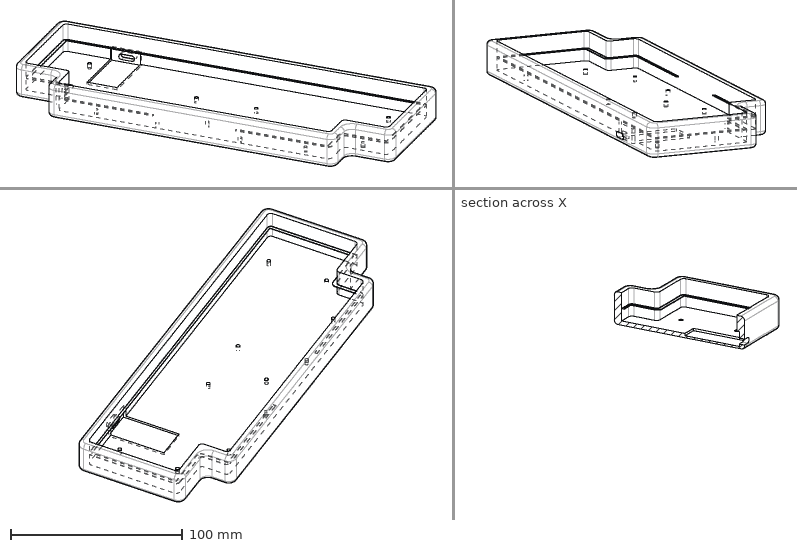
import cadquery as cq


KEY_PITCH = 19.05
KEYS_WIDE = 12
KEYS_DEEP = 4
BORDER = 6.0

WIDTH = KEYS_WIDE * KEY_PITCH + 2 * BORDER
DEPTH = KEYS_DEEP * KEY_PITCH + 2 * BORDER
HEIGHT = 20.6
FRONT_HALF_WIDTH = 4.5 * KEY_PITCH + BORDER
RIGHT_SHOULDER = -KEY_PITCH - BORDER
SHOULDER_OFFSET = 0.4
LEFT_SHOULDER = RIGHT_SHOULDER - SHOULDER_OFFSET

CORNER_RADIUS = 5.0
EDGE_RADIUS = 2.5
CAVITY_RADIUS = 2.3

FLOOR_Z = 3.0

WALL_X = 4.9
WALL_Y = 5.3
WALL_STEP = 5.1

LIP_TOP_Z = 10.7
LIP_THICKNESS = 0.3
LIP_REACH_X = 2.0
LIP_REACH_Y = 1.5
LIP_REACH_STEP = 2.2
LIP_SHOULDER_RADIUS = 3.0
LIP_GAP_HALF_WIDTH = 26.3

POCKET_X = -76.6
POCKET_WIDTH = KEY_PITCH
POCKET_FRONT_Y = 3.9
POCKET_BACK_Y = 40.5
POCKET_DEPTH = 1.4

PORT_WIDTH = 10.0
PORT_HEIGHT = 3.4
PORT_Z = 4.8

HOLE_PITCH = 19.0
HOLE_GRID_Y = -0.1
HOLE_DIAMETER = 2.2
SHOULDER_HOLE_DIAMETER = 2.0
FRONT_HOLE_Y = -32.0


def tray_outline(wall_x, wall_y, wall_step):
    """Wide rear body plus narrow front section, inset by the given walls."""
    side = WIDTH / 2 - wall_x
    rear = DEPTH / 2 - wall_y
    step = FRONT_HALF_WIDTH - wall_step
    left = LEFT_SHOULDER + wall_step
    right = RIGHT_SHOULDER + wall_step
    return [
        (-side, rear),
        (side, rear),
        (side, right),
        (step, right),
        (step, -rear),
        (-step, -rear),
        (-step, left),
        (-side, left),
    ]


def tray_prism(walls, bottom, top):
    """Upright prism over the tray outline."""
    base = cq.Workplane("XY").workplane(offset=bottom)
    return base.polyline(tray_outline(*walls)).close().extrude(top - bottom)


def block(x_range, y_range, z_range):
    """Box between the given limits."""
    sizes = [high - low for low, high in (x_range, y_range, z_range)]
    corner = (x_range[0], y_range[0], z_range[0])
    return cq.Workplane("XY").box(*sizes, centered=False).translate(corner)


def outer_body():
    body = tray_prism((0, 0, 0), 0, HEIGHT).edges("|Z").fillet(CORNER_RADIUS)
    return body.faces("<Z or >Z").edges().fillet(EDGE_RADIUS)


def cavity(bottom, top):
    return tray_prism((WALL_X, WALL_Y, WALL_STEP), bottom, top).edges("|Z").fillet(CAVITY_RADIUS)


def shoulder_edges():
    """Selects the vertical edges where the body steps in to the front section."""
    low = (-FRONT_HALF_WIDTH, RIGHT_SHOULDER, 0)
    high = (FRONT_HALF_WIDTH, 0, HEIGHT)
    return cq.selectors.BoxSelector(low, high)


def support_lip():
    lip_bottom = LIP_TOP_Z - LIP_THICKNESS
    inner_walls = (WALL_X + LIP_REACH_X, WALL_Y + LIP_REACH_Y, WALL_STEP + LIP_REACH_STEP)
    opening = tray_prism(inner_walls, lip_bottom, LIP_TOP_Z)
    opening = opening.edges("|Z").edges(shoulder_edges()).fillet(LIP_SHOULDER_RADIUS)
    front_gap = block(
        (-LIP_GAP_HALF_WIDTH, LIP_GAP_HALF_WIDTH),
        (-DEPTH / 2, 0),
        (lip_bottom, LIP_TOP_Z),
    )
    return cavity(lip_bottom, LIP_TOP_Z).cut(opening).cut(front_gap)


def controller_pocket():
    return block(
        (POCKET_X - POCKET_WIDTH / 2, POCKET_X + POCKET_WIDTH / 2),
        (POCKET_FRONT_Y, POCKET_BACK_Y),
        (FLOOR_Z - POCKET_DEPTH, LIP_TOP_Z - LIP_THICKNESS),
    )


def cable_port():
    slot = cq.Workplane("XZ", origin=(POCKET_X, DEPTH / 2, PORT_Z)).slot2D(PORT_WIDTH, PORT_HEIGHT)
    return slot.extrude(DEPTH / 2 - POCKET_FRONT_Y)


def grid_point(column, row):
    return (column * HOLE_PITCH, HOLE_GRID_Y + row * HOLE_PITCH)


def round_holes(positions, diameter):
    return cq.Workplane("XY").pushPoints(positions).circle(diameter / 2).extrude(FLOOR_Z)


def screw_holes():
    main_positions = [grid_point(0, -1)]
    shoulder_positions = []
    for side in (-1, 1):
        main_positions.append(grid_point(side * 5, 1.5))
        main_positions.append(grid_point(side * 5, -0.5))
        main_positions.append(grid_point(side, 0.5))
        main_positions.append((side * LIP_GAP_HALF_WIDTH, FRONT_HOLE_Y))
        shoulder_positions.append(grid_point(side * 3.5, -1.5))
    main_holes = round_holes(main_positions, HOLE_DIAMETER)
    return main_holes.union(round_holes(shoulder_positions, SHOULDER_HOLE_DIAMETER))


openings = cavity(FLOOR_Z, HEIGHT).cut(support_lip())
for opening in (controller_pocket(), cable_port(), screw_holes()):
    openings = openings.union(opening)
result = outer_body().cut(openings)